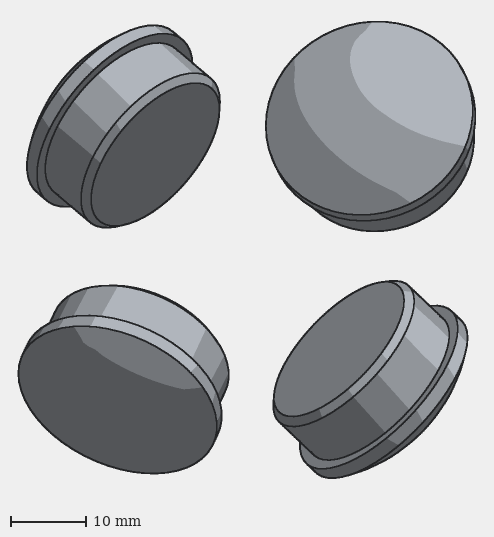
import math

import cadquery as cq

flange_diameter = 28.0
flange_thickness = 2.0
dome_height = 5.0
plug_diameter = 25.0
plug_length = 8.0
chamfer_size = 0.95

flange_radius = flange_diameter / 2
plug_radius = plug_diameter / 2
plug_end_x = flange_thickness + plug_length

dome_radius = (flange_radius**2 + dome_height**2) / (2 * dome_height)
dome_centre_x = dome_radius - dome_height

half_angle = math.asin(flange_radius / dome_radius) / 2
dome_middle = (
    dome_centre_x - dome_radius * math.cos(half_angle),
    dome_radius * math.sin(half_angle),
)

half_section = (
    cq.Workplane("XY")
    .moveTo(-dome_height, 0)
    .threePointArc(dome_middle, (0, flange_radius))
    .lineTo(flange_thickness, flange_radius)
    .lineTo(flange_thickness, plug_radius)
    .lineTo(plug_end_x - chamfer_size, plug_radius)
    .lineTo(plug_end_x, plug_radius - chamfer_size)
    .lineTo(plug_end_x, 0)
    .close()
)

result = half_section.revolve(360, (0, 0, 0), (1, 0, 0))